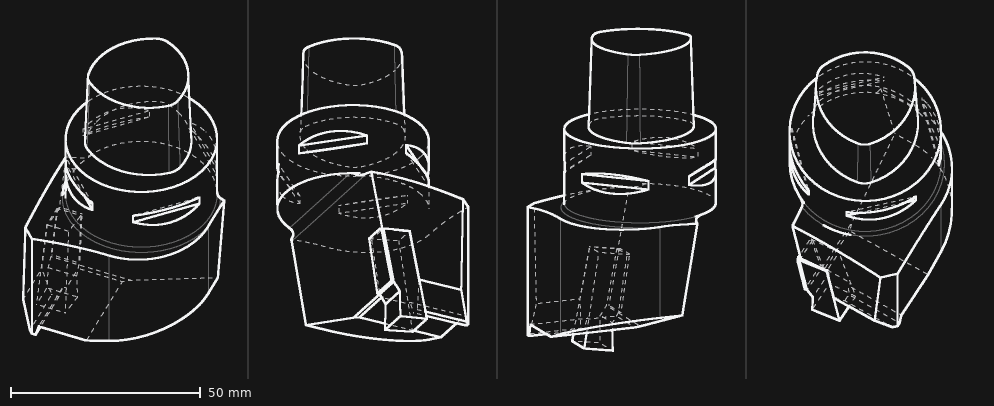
import cadquery as cq
import math


SHANK_HEIGHT = 23.95
SHANK_TAPER = 1.9
LOBE_ANGLES = (90, 210, 330)
LOBE_PITCH = 120
FLANK_TURN = LOBE_PITCH / 2
LOBE_CENTER_RADIUS = 9.6
LOBE_RADIUS = 5.3
LOBE_HALF_ANGLE = 20

FLANGE_DIAMETER = 40.0
FLANGE_RADIUS = FLANGE_DIAMETER / 2
FLANGE_HEIGHT = 20.3
SLOT_COUNT = 4
FIRST_SLOT_ANGLE = 45
SLOT_Z = -10.1
SLOT_FLOOR_DISTANCE = 17.6
SLOT_FLOOR_HEIGHT = 2.3
SLOT_MOUTH_HEIGHT = 5.25

TOTAL_HEIGHT = 89.0
TIP_Z = SHANK_HEIGHT - TOTAL_HEIGHT
HEAD_ARC_X = 0.5
HEAD_ARC_Y = -3.0
HEAD_RIGHT = HEAD_ARC_X + FLANGE_RADIUS
HEAD_FRONT = HEAD_ARC_Y - FLANGE_RADIUS
HEAD_LEFT = -35.6
HEAD_BACK = 17.8
HEAD_LOW = -59.2
CORNER_X = -21.55
SHOULDER_ANGLE = 15.0
SHOULDER_REACH = 40.1
NECK_DROP = 0.9
LEFT_LEAN = 2.3
LEFT_TOP_X = -24.75
LEFT_TOP_Z = -22.3
BEVEL_TOP_Z = -52.2
TONGUE_LEFT = -22.5
TONGUE_RIGHT = -20.5
STEP_X = -19.6
STEP_Z = -55.8
SLOPE_START_X = -6.0
SLOPE_ANGLE = 20.0

RAKE = 10.0
RAKE_Y = 11.5
BACK_FILLET = 2.3

INSERT_THICKNESS = 8.3
INSERT_TOP_THICKNESS = 8.2
INSERT_TOP_Z = -39.5
INSERT_TIP_Y = 0.0
INSERT_LEFT = -27.1
INSERT_RIGHT = -18.25
INSERT_LEAN = 2.2
INSERT_RELIEF = 3.0
INSERT_STEP_Z = -55.0
INSERT_KINK_Z = -57.5

STRIP_THICKNESS = 0.7
STRIP_BEVEL = 0.6


def tan(angle):
    return math.tan(math.radians(angle))


def rake_y(z):
    return RAKE_Y + z * tan(RAKE)


def polar(radius, angle):
    a = math.radians(angle)
    return cq.Vector(radius * math.cos(a), radius * math.sin(a))


def make_shank():
    to_flank = math.sin(math.radians(FLANK_TURN - LOBE_HALF_ANGLE))
    flank_offset = LOBE_CENTER_RADIUS * math.sin(math.radians(LOBE_HALF_ANGLE)) / to_flank
    flank_radius = LOBE_RADIUS + LOBE_CENTER_RADIUS * math.sin(math.radians(FLANK_TURN)) / to_flank

    def lobe_point(lobe, normal):
        return (polar(LOBE_CENTER_RADIUS, lobe) + polar(LOBE_RADIUS, normal)).toTuple()[:2]

    outline = cq.Workplane("XY").moveTo(*lobe_point(LOBE_ANGLES[0], LOBE_ANGLES[0] - LOBE_HALF_ANGLE))
    for lobe in LOBE_ANGLES:
        flank = lobe + FLANK_TURN
        flank_middle = polar(flank_radius - flank_offset, flank)
        lobe_end = lobe_point(lobe, lobe + LOBE_HALF_ANGLE)
        next_start = lobe_point(lobe + LOBE_PITCH, lobe + LOBE_PITCH - LOBE_HALF_ANGLE)
        outline = outline.threePointArc(lobe_point(lobe, lobe), lobe_end)
        outline = outline.threePointArc(flank_middle.toTuple()[:2], next_start)
    return outline.close().extrude(SHANK_HEIGHT, taper=SHANK_TAPER)


def make_slot_cutter():
    """Groove along Y with a flat floor and flared walls, on the +X side."""
    depth = FLANGE_RADIUS - SLOT_FLOOR_DISTANCE
    floor = SLOT_FLOOR_HEIGHT / 2
    mouth = SLOT_MOUTH_HEIGHT / 2
    return (
        cq.Workplane("XZ", origin=(SLOT_FLOOR_DISTANCE, 0, SLOT_Z))
        .polyline([(0, -floor), (depth, -mouth), (depth, mouth), (0, floor)])
        .close()
        .extrude(FLANGE_RADIUS, both=True)
    )


def make_flange():
    flange = cq.Workplane("XY").circle(FLANGE_RADIUS).extrude(-FLANGE_HEIGHT)
    cutter = make_slot_cutter()
    for i in range(SLOT_COUNT):
        angle = FIRST_SLOT_ANGLE + i * 360 / SLOT_COUNT
        flange = flange.cut(cutter.rotate((0, 0, 0), (0, 0, 1), angle))
    return flange


def make_head_plan():
    """Plan outline: 45 degree corner bevel at the left, round corner at the right."""
    bevel_run = CORNER_X - HEAD_LEFT
    arc_middle = polar(FLANGE_RADIUS, -45) + cq.Vector(HEAD_ARC_X, HEAD_ARC_Y)
    return (
        cq.Workplane("XY")
        .moveTo(HEAD_LEFT, HEAD_BACK)
        .lineTo(HEAD_LEFT, HEAD_FRONT + bevel_run)
        .lineTo(CORNER_X, HEAD_FRONT)
        .lineTo(HEAD_ARC_X, HEAD_FRONT)
        .threePointArc(arc_middle.toTuple()[:2], (HEAD_RIGHT, HEAD_ARC_Y))
        .lineTo(HEAD_RIGHT, HEAD_BACK)
        .close()
        .extrude(TIP_Z)
    )


def make_head_shoulder():
    """Round envelope: neck fillet under the flange, then a shallow cone."""
    neck_z = -FLANGE_HEIGHT
    fillet_end = (
        FLANGE_RADIUS + NECK_DROP * math.cos(math.radians(SHOULDER_ANGLE)),
        neck_z - NECK_DROP * (1 + math.sin(math.radians(SHOULDER_ANGLE))),
    )
    rim_z = fillet_end[1] - (SHOULDER_REACH - fillet_end[0]) * tan(SHOULDER_ANGLE)
    fillet_radius = NECK_DROP / tan((90 - SHOULDER_ANGLE) / 2)
    return (
        cq.Workplane("XZ")
        .moveTo(0, TIP_Z)
        .lineTo(0, neck_z)
        .lineTo(FLANGE_RADIUS, neck_z)
        .radiusArc(fillet_end, -fillet_radius)
        .lineTo(SHOULDER_REACH, rim_z)
        .lineTo(SHOULDER_REACH, TIP_Z)
        .close()
        .revolve(360, (0, 0, 0), (0, 1, 0))
    )


def make_head_side_profile():
    """Outline in XZ: leaning left face, bevelled tongue and sloping underside."""
    left_low_x = LEFT_TOP_X - (LEFT_TOP_Z - BEVEL_TOP_Z) * tan(LEFT_LEAN)
    left_high_x = LEFT_TOP_X - LEFT_TOP_Z * tan(LEFT_LEAN)
    slope_end_z = STEP_Z + (HEAD_RIGHT - SLOPE_START_X) * tan(SLOPE_ANGLE)
    return (
        cq.Workplane("XZ")
        .polyline(
            [
                (left_high_x, 0),
                (left_low_x, BEVEL_TOP_Z),
                (TONGUE_LEFT, HEAD_LOW),
                (TONGUE_RIGHT, HEAD_LOW),
                (STEP_X, STEP_Z),
                (SLOPE_START_X, STEP_Z),
                (HEAD_RIGHT, slope_end_z),
                (HEAD_RIGHT, 0),
            ]
        )
        .close()
        .extrude(SHOULDER_REACH, both=True)
    )


def make_back_cutter():
    """Space behind the raked face and the insert, rounded under the flange."""
    top_z = -FLANGE_HEIGHT
    return (
        cq.Workplane("YZ")
        .polyline(
            [
                (rake_y(top_z), top_z),
                (rake_y(INSERT_STEP_Z), INSERT_STEP_Z),
                (INSERT_TIP_Y, INSERT_KINK_Z),
                (INSERT_TIP_Y, TIP_Z),
                (SHOULDER_REACH, TIP_Z),
                (SHOULDER_REACH, top_z),
            ]
        )
        .close()
        .extrude(SHOULDER_REACH, both=True)
        .edges(cq.selectors.NearestToPointSelector((0, rake_y(top_z), top_z)))
        .fillet(BACK_FILLET)
    )


def make_insert_sides():
    """Block bounded by the insert's two side faces, relieved away from the cutting edge."""
    def section(z):
        rise = z - TIP_Z
        left = INSERT_LEFT + rise * tan(INSERT_LEAN)
        right = INSERT_RIGHT - rise * tan(INSERT_LEAN)
        back = rake_y(z) + STRIP_THICKNESS
        front = back - 2 * INSERT_THICKNESS
        relief = (back - front) * tan(INSERT_RELIEF)
        return [(left, back), (right, back), (right, front), (left + relief, front)]

    high_z = INSERT_TOP_Z + INSERT_THICKNESS
    return (
        cq.Workplane("XY", origin=(0, 0, TIP_Z))
        .polyline(section(TIP_Z))
        .close()
        .workplane(offset=high_z - TIP_Z)
        .polyline(section(high_z))
        .close()
        .loft(ruled=True)
    )


def make_insert(sides):
    rake_cos = math.cos(math.radians(RAKE))
    rake_sin = math.sin(math.radians(RAKE))
    top_back_y = rake_y(INSERT_TOP_Z)
    front_y = rake_y(TIP_Z) - INSERT_THICKNESS / rake_cos
    front_run = (INSERT_TIP_Y - front_y) * rake_cos**2
    profile = (
        cq.Workplane("YZ")
        .polyline(
            [
                (top_back_y, INSERT_TOP_Z),
                (rake_y(INSERT_STEP_Z), INSERT_STEP_Z),
                (INSERT_TIP_Y, INSERT_KINK_Z),
                (INSERT_TIP_Y, TIP_Z),
                (INSERT_TIP_Y - front_run, TIP_Z + front_run * tan(RAKE)),
                (
                    top_back_y - INSERT_TOP_THICKNESS * rake_cos,
                    INSERT_TOP_Z + INSERT_TOP_THICKNESS * rake_sin,
                ),
            ]
        )
        .close()
        .extrude(SHOULDER_REACH, both=True)
    )
    return profile.intersect(sides)


def make_clamp_strip(sides):
    """Thin strip lying on the insert's raked face, its left edge bevelled."""
    profile = (
        cq.Workplane("YZ")
        .polyline(
            [
                (rake_y(INSERT_TOP_Z), INSERT_TOP_Z),
                (rake_y(INSERT_STEP_Z), INSERT_STEP_Z),
                (rake_y(INSERT_STEP_Z) + STRIP_THICKNESS, INSERT_STEP_Z),
                (rake_y(INSERT_TOP_Z) + STRIP_THICKNESS, INSERT_TOP_Z),
            ]
        )
        .close()
        .extrude(SHOULDER_REACH, both=True)
    )
    strip = profile.intersect(sides)
    return strip.faces(">Y").edges("<X").chamfer(STRIP_BEVEL)


def make_holder(insert):
    head = make_head_plan().intersect(make_head_shoulder()).intersect(make_head_side_profile())
    head = head.cut(make_back_cutter())
    return make_shank().union(make_flange()).union(head).cut(insert)


insert_sides = make_insert_sides()
insert = make_insert(insert_sides)
clamp_strip = make_clamp_strip(insert_sides)
holder = make_holder(insert)

result = cq.Compound.makeCompound([holder.val(), insert.val(), clamp_strip.val()])